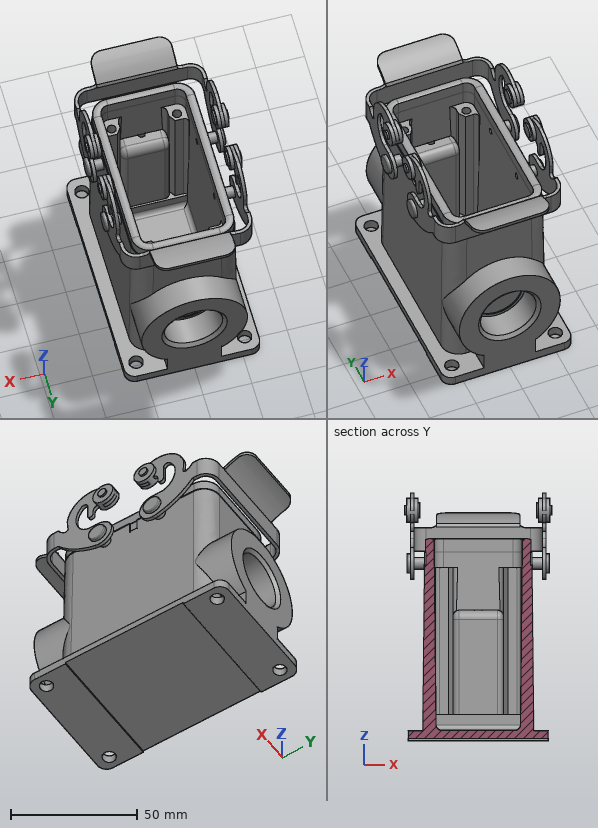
import cadquery as cq
import math

flange_x, flange_y, flange_height = 55.6, 94.2, 4.1
flange_corner = 4.3
mount_hole_d = 5.6
mount_hole_x, mount_hole_y = 22.3, 40.8
relief_depth, relief_length = 0.8, 56.3

body_x, body_y, body_top = 44.2, 73.8, 74.9
body_corner = 7.5
body_inset = 0.7

rim_x, rim_y, rim_top = 41.9, 71.9, 80.3
rim_corner = 7.2
rim_crown = 0.5

cavity_x, cavity_y = 34.8, 65.9
cavity_corner = 3.5
cavity_inset = 0.7
cavity_floor = 4.2
ledge_y, ledge_top = 24.5, 10.4
floor_round = 2.1

pillar_top = 68.7
pillar_inner_x, pillar_inner_y = 10.0, 25.5
pillar_chamfer_x, pillar_chamfer_y = 1.9, 2.7
end_fillet, side_fillet = 2.4, 1.7
arc_middle = 1 - math.sqrt(0.5)
screw_hole_d, screw_hole_depth = 3.5, 10.4
screw_x, screw_y = 13.5, 28.5

entry_z, entry_d = 30.0, 43.6
entry_bore_d, entry_bore_depth = 24.0, 12.4
entry_chamfer = 1.5
knockout_d, knockout_depth = 21.5, 0.5
web_x = 22.3
entry_root_y = 29.2
inner_block_y, inner_block_round = 25.3, 3.6
inner_block_side_round = 2.4
inner_block_top = 51.8
drain_d, drain_depth = 3.0, 5.2

notch_width, notch_height, notch_depth = 3.5, 5.2, 0.6

sheet = 1.5
lever_x, lever_y = 26.9, 40.5
band_bottom, band_top = 75.2, 84.5
band_corner = 6.3
band_side_y = 32.0
flap_x, flap_end, flap_corner = 33.2, 52.1, 5.1
flap_flare, flap_flare_height = 2.3, 1.0
hinge_y, hinge_z, hinge_eye_r = 13.0, 70.4, 6.4
hinge_d, hinge_head_d, hinge_head_height = 4.8, 7.8, 1.5
hinge_head_round = 0.4
hinge_bore_d, hinge_bore_depth = 2.3, 5.7
roller_y, roller_z = 9.8, 91.4
roller_d, roller_width = 9.6, 1.6
outer_stub_d, inner_stub_d, stub_height = 3.9, 6.0, 0.7
part_x, part_top = 58.4, 98.3


def both_signs(shape, plane):
    return shape.union(shape.mirror(plane))


def four_corners(shape):
    return both_signs(both_signs(shape, "YZ"), "XZ")


def rounded_outline(x, y, corner):
    return cq.Sketch().rect(x, y).vertices().fillet(corner)


def block(x, y, bottom, top, corner):
    outline = rounded_outline(x, y, corner)
    return cq.Workplane("XY").workplane(offset=bottom).placeSketch(outline).extrude(top - bottom)


def tapered_block(x, y, bottom, top, corner, inset):
    """Rounded block whose sides move inward by `inset` from bottom to top."""
    foot = rounded_outline(x, y, corner)
    head = rounded_outline(x - 2 * inset, y - 2 * inset, corner)
    head = head.moved(cq.Location(cq.Vector(0, 0, top - bottom)))
    return cq.Workplane("XY").workplane(offset=bottom).placeSketch(foot, head).loft(ruled=True)


def rod_x(diameter, start, end, y, z):
    return cq.Workplane("YZ", origin=(start, y, z)).circle(diameter / 2).extrude(end - start)


def rod_y(diameter, start, end, z):
    return cq.Workplane("XZ", origin=(0, start, z)).circle(diameter / 2).extrude(start - end)


def box_between(x0, x1, y0, y1, z0, z1):
    return cq.Workplane("XY").box(x1 - x0, y1 - y0, z1 - z0, centered=False).translate((x0, y0, z0))


def make_flange():
    flange = block(flange_x, flange_y, 0, flange_height, flange_corner)
    relief = cq.Workplane("XY").box(flange_x, relief_length, 2 * relief_depth)
    holes = cq.Workplane("XY").rect(2 * mount_hole_x, 2 * mount_hole_y, forConstruction=True)
    holes = holes.vertices().circle(mount_hole_d / 2).extrude(flange_height)
    return flange.cut(relief).cut(holes)


def make_rim_crest():
    """Arched cap swept around the top of the rim wall."""
    half_wall = (rim_x - cavity_x) / 4
    edge_z = rim_top - rim_crown
    path_x, path_y = rim_x / 2 - half_wall, rim_y / 2 - half_wall
    path = block(2 * path_x, 2 * path_y, body_top, edge_z, rim_corner - half_wall).faces(">Z").wires()
    cap = (
        cq.Workplane("XZ")
        .moveTo(path_x - half_wall, edge_z)
        .threePointArc((path_x, rim_top), (path_x + half_wall, edge_z))
        .close()
    )
    return cap.sweep(path)


def make_shell():
    body = tapered_block(body_x, body_y, flange_height, body_top, body_corner, body_inset)
    rim = block(rim_x, rim_y, body_top, rim_top - rim_crown, rim_corner).union(make_rim_crest())
    half_web = web_x / 2
    entry = rod_y(entry_d, entry_root_y, flange_y / 2, entry_z)
    web = box_between(-half_web, half_web, entry_root_y, flange_y / 2, flange_height, entry_z)
    return body.union(rim).union(both_signs(entry.union(web), "XZ"))


def make_cavity():
    cavity = tapered_block(cavity_x - 2 * cavity_inset, cavity_y - 2 * cavity_inset,
                           cavity_floor, body_top, cavity_corner, -cavity_inset)
    ledge = box_between(-cavity_x, cavity_x, ledge_y, cavity_y, cavity_floor, ledge_top)
    cavity = cavity.cut(both_signs(ledge, "XZ")).faces("<Z").edges().fillet(floor_round)
    mouth = block(cavity_x, cavity_y, body_top, rim_top, cavity_corner)
    return cavity.union(mouth)


def make_pillars():
    outer_x, outer_y = rim_x / 2, rim_y / 2
    wall_x, wall_y = cavity_x / 2 - cavity_inset / 2, cavity_y / 2
    end_bend, side_bend = end_fillet * arc_middle, side_fillet * arc_middle
    side_y = pillar_inner_y - side_fillet
    pillar = (
        cq.Workplane("XY").workplane(offset=flange_height)
        .moveTo(outer_x, outer_y)
        .lineTo(pillar_inner_x - end_fillet, outer_y)
        .lineTo(pillar_inner_x - end_fillet, wall_y)
        .threePointArc((pillar_inner_x - end_bend, wall_y - end_bend), (pillar_inner_x, wall_y - end_fillet))
        .lineTo(pillar_inner_x, pillar_inner_y + pillar_chamfer_y)
        .lineTo(pillar_inner_x + pillar_chamfer_x, pillar_inner_y)
        .lineTo(wall_x - side_fillet, pillar_inner_y)
        .threePointArc((wall_x - side_bend, pillar_inner_y - side_bend), (wall_x, side_y))
        .lineTo(outer_x, side_y)
        .close()
        .extrude(pillar_top - flange_height)
    )
    hole = cq.Workplane("XY", origin=(screw_x, screw_y, pillar_top))
    hole = hole.circle(screw_hole_d / 2).extrude(-screw_hole_depth)
    corner_column = block(rim_x, rim_y, flange_height, pillar_top, rim_corner)
    return four_corners(pillar.intersect(corner_column).cut(hole))


def make_inner_block():
    inner = box_between(-pillar_inner_x, pillar_inner_x, inner_block_y, cavity_y / 2,
                        flange_height, inner_block_top)
    inner = inner.faces("<Y").edges(">Z").fillet(inner_block_round)
    inner = inner.faces(">Z").edges("|Y").fillet(inner_block_side_round)
    return both_signs(inner, "XZ")


def make_drains():
    drain = cq.Workplane("XY", origin=(0, cavity_y / 2, inner_block_top - drain_depth))
    drain = drain.circle(drain_d / 2).extrude(drain_depth)
    return both_signs(drain, "XZ")


def make_entry_bores():
    face_y = flange_y / 2
    step_y = face_y - entry_bore_depth
    bore = rod_y(entry_bore_d, face_y, step_y, entry_z)
    knockout = rod_y(knockout_d, step_y, step_y - knockout_depth, entry_z)
    bore_r = entry_bore_d / 2
    mouth = cq.Workplane(cq.Solid.makeCone(
        bore_r + entry_chamfer, bore_r, entry_chamfer,
        cq.Vector(0, face_y, entry_z), cq.Vector(0, -1, 0)))
    return both_signs(bore.union(knockout).union(mouth), "XZ")


def make_notches():
    side_x = body_x / 2 - body_inset
    notch = box_between(side_x - notch_depth, body_x, -notch_width / 2, notch_width / 2,
                        body_top - notch_height, body_top)
    return both_signs(notch, "YZ")


def make_hook():
    roller_r = roller_d / 2
    outline = (
        cq.Workplane("YZ", origin=(lever_x - sheet, 0, 0))
        .moveTo(band_side_y, band_top)
        .threePointArc((30.6, 82.8), (29.1, 81.7))
        .threePointArc((27.8, 81.9), (27.5, 83.2))
        .threePointArc((27.7, 85.5), (27.8, 87.4))
        .threePointArc((24.2, 95.0), (16.5, part_top))
        .threePointArc((12.5, 97.8), (9.0, roller_z + roller_r))
        .threePointArc((roller_y - roller_r, roller_z), (roller_y + 0.8, roller_z - roller_r))
        .lineTo(13.1, 88.1)
        .threePointArc((14.6, 87.7), (15.4, 86.2))
        .lineTo(15.4, 84.3)
        .threePointArc((16.8, 83.1), (18.1, 84.3))
        .lineTo(18.1, 91.0)
        .threePointArc((19.5, 92.3), (21.1, 91.7))
        .threePointArc((23.7, 85.5), (22.2, 80.2))
        .threePointArc((20.2, 77.9), (17.5, hinge_z + hinge_eye_r))
        .lineTo(hinge_y, hinge_z + hinge_eye_r)
        .threePointArc((hinge_y - hinge_eye_r, hinge_z), (hinge_y, hinge_z - hinge_eye_r))
        .lineTo(14.6, 64.3)
        .threePointArc((25.0, 68.9), (band_side_y, band_bottom))
        .close()
    )
    return outline.extrude(sheet)


def make_band():
    outer = block(2 * lever_x, 2 * lever_y, band_bottom, band_top, band_corner)
    inner = block(2 * (lever_x - sheet), 2 * (lever_y - sheet), band_bottom, band_top, band_corner - sheet)
    middle = cq.Workplane("XY").box(3 * lever_x, 2 * band_side_y, 3 * band_top)
    return outer.cut(inner).cut(middle)


def make_flap():
    flap = (
        cq.Workplane("YZ", origin=(-flap_x / 2, 0, 0))
        .moveTo(lever_y - sheet, band_top - sheet)
        .lineTo(lever_y - sheet, 84.9)
        .lineTo(39.7, 86.1)
        .threePointArc((46.1, 89.1), (flap_end, 90.5))
        .lineTo(flap_end, 88.9)
        .threePointArc((46.1, 87.6), (lever_y, band_top))
        .lineTo(lever_y, band_top - sheet)
        .close()
        .extrude(flap_x)
    )
    flap = flap.faces(">Y").edges("|Z").fillet(flap_corner)
    return both_signs(flap.union(both_signs(make_flare(), "YZ")), "XZ")


def make_flare():
    """Curved gusset that widens the root of a flap into the top of the band."""
    half_root = flap_x / 2
    flare_middle = (half_root + 0.4 * flap_flare, band_top + 0.35 * flap_flare_height)
    return (
        cq.Workplane("XZ", origin=(0, lever_y, 0))
        .moveTo(half_root, band_top)
        .lineTo(half_root + flap_flare, band_top)
        .threePointArc(flare_middle, (half_root, band_top + flap_flare_height))
        .close()
        .extrude(sheet)
    )


def make_hinge_pin():
    shaft = rod_x(hinge_d, cavity_x / 2, lever_x, hinge_y, hinge_z)
    head = rod_x(hinge_head_d, lever_x, lever_x + hinge_head_height, hinge_y, hinge_z)
    return shaft.union(head.faces(">X").edges().fillet(hinge_head_round))


def make_roller():
    inner_x, outer_x = lever_x - sheet - roller_width, lever_x + roller_width
    disc = rod_x(roller_d, inner_x, outer_x, roller_y, roller_z)
    inner_stub = rod_x(inner_stub_d, inner_x - stub_height, inner_x, roller_y, roller_z)
    outer_stub = rod_x(outer_stub_d, outer_x, part_x / 2, roller_y, roller_z)
    return disc.union(inner_stub).union(outer_stub)


def make_hinge_bores():
    wall_x = cavity_x / 2 - cavity_inset
    return four_corners(rod_x(hinge_bore_d, wall_x, wall_x + hinge_bore_depth, hinge_y, hinge_z))


housing = make_flange().union(make_shell()).cut(make_cavity())
housing = housing.union(make_pillars()).union(make_inner_block())
housing = housing.cut(make_drains()).cut(make_entry_bores()).cut(make_notches())

levers = four_corners(make_hook().union(make_hinge_pin()).union(make_roller()))
levers = levers.union(make_band()).union(make_flap())

result = housing.union(levers).cut(make_hinge_bores())